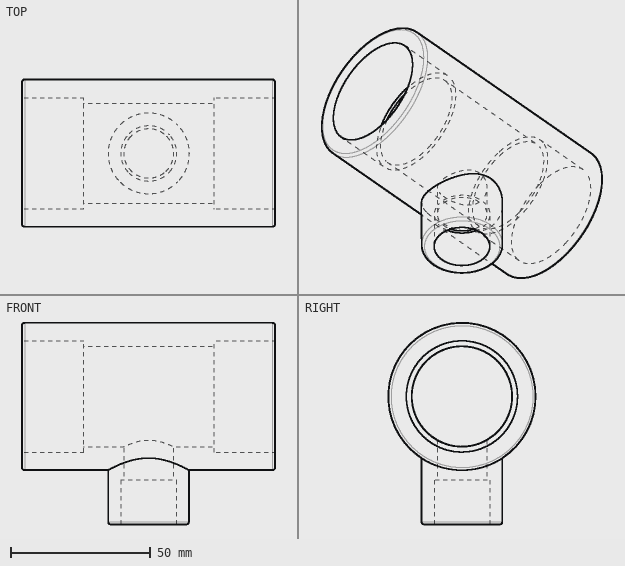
import cadquery as cq

run_length = 91.0
run_outer_diameter = 53.0
run_bore_diameter = 36.0
run_socket_diameter = 40.0
run_socket_depth = 22.0

branch_outer_diameter = 29.1
branch_bore_diameter = 17.8
branch_socket_diameter = 20.0
branch_socket_depth = 16.0
overall_height = 72.5
branch_reach = overall_height - run_outer_diameter / 2

rim_radius = 1.0


def run_cylinder(diameter, start_x, length):
    """Solid cylinder on the run axis, from start_x towards +X."""
    plane = cq.Workplane("YZ", origin=(start_x, 0, 0))
    return plane.circle(diameter / 2).extrude(length)


def branch_cylinder(diameter, length):
    """Solid cylinder on the branch axis, from the branch mouth towards +Z."""
    plane = cq.Workplane("XY", origin=(0, 0, -branch_reach))
    return plane.circle(diameter / 2).extrude(length)


def outer_body():
    """Solid tee with rounded rims."""
    run = run_cylinder(run_outer_diameter, -run_length / 2, run_length)
    run = run.faces("<X or >X").edges().fillet(rim_radius)
    branch = branch_cylinder(branch_outer_diameter, branch_reach)
    branch = branch.faces("<Z").edges().fillet(rim_radius)
    return run.union(branch)


def cut_run(body):
    """Through bore with a wider pipe socket at each end of the run."""
    body = body.cut(run_cylinder(run_bore_diameter, -run_length / 2, run_length))
    for socket_start in (-run_length / 2, run_length / 2 - run_socket_depth):
        body = body.cut(run_cylinder(run_socket_diameter, socket_start, run_socket_depth))
    return body


def cut_branch(body):
    """Branch bore opening into the run bore, with a wider socket at its mouth."""
    body = body.cut(branch_cylinder(branch_bore_diameter, branch_reach))
    return body.cut(branch_cylinder(branch_socket_diameter, branch_socket_depth))


result = cut_branch(cut_run(outer_body()))